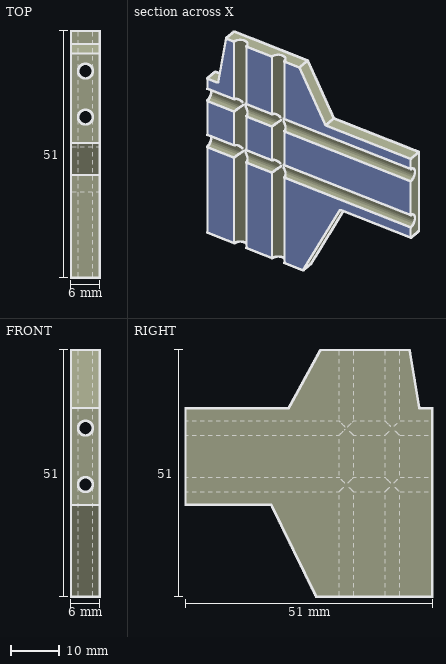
import cadquery as cq

THICKNESS = 6.0
LENGTH = 51.0
HEIGHT = 51.0
FRONT_Y = -LENGTH / 2
BACK_Y = LENGTH / 2
BOTTOM_Z = -HEIGHT / 2
TOP_Z = HEIGHT / 2

SHOULDER_Z = TOP_Z - 12.0
ARM_HEIGHT = 20.0
ARM_BOTTOM_Z = SHOULDER_Z - ARM_HEIGHT
ARM_TOP_ROOT_Y = FRONT_Y + 21.3
ARM_BOTTOM_ROOT_Y = FRONT_Y + 17.7

BOTTOM_FRONT_Y = FRONT_Y + 27.0
CROWN_FRONT_Y = FRONT_Y + 27.85
CROWN_BACK_Y = FRONT_Y + 46.3
CROWN_FOOT_Y = FRONT_Y + 48.3

HOLE_DIAMETER = 3.0
ARM_HOLE_HEIGHTS = (BOTTOM_Z + 23.2, BOTTOM_Z + 34.85)
CROWN_HOLE_POSITIONS = (FRONT_Y + 33.2, FRONT_Y + 42.7)


def plate():
    """Extrude the side profile through the full thickness."""
    outline = [
        (BACK_Y, BOTTOM_Z),
        (BOTTOM_FRONT_Y, BOTTOM_Z),
        (ARM_BOTTOM_ROOT_Y, ARM_BOTTOM_Z),
        (FRONT_Y, ARM_BOTTOM_Z),
        (FRONT_Y, SHOULDER_Z),
        (ARM_TOP_ROOT_Y, SHOULDER_Z),
        (CROWN_FRONT_Y, TOP_Z),
        (CROWN_BACK_Y, TOP_Z),
        (CROWN_FOOT_Y, SHOULDER_Z),
        (BACK_Y, SHOULDER_Z),
    ]
    return cq.Workplane("YZ").polyline(outline).close().extrude(THICKNESS / 2, both=True)


def arm_holes():
    """Holes along Y, from the arm's end face to the back edge."""
    centres = [(0, z) for z in ARM_HOLE_HEIGHTS]
    start = cq.Workplane("XZ", origin=(0, FRONT_Y, 0))
    return start.pushPoints(centres).circle(HOLE_DIAMETER / 2).extrude(-LENGTH)


def crown_holes():
    """Holes along Z, from the top face to the bottom edge."""
    centres = [(0, y) for y in CROWN_HOLE_POSITIONS]
    start = cq.Workplane("XY", origin=(0, 0, BOTTOM_Z))
    return start.pushPoints(centres).circle(HOLE_DIAMETER / 2).extrude(HEIGHT)


result = plate().cut(arm_holes()).cut(crown_holes())